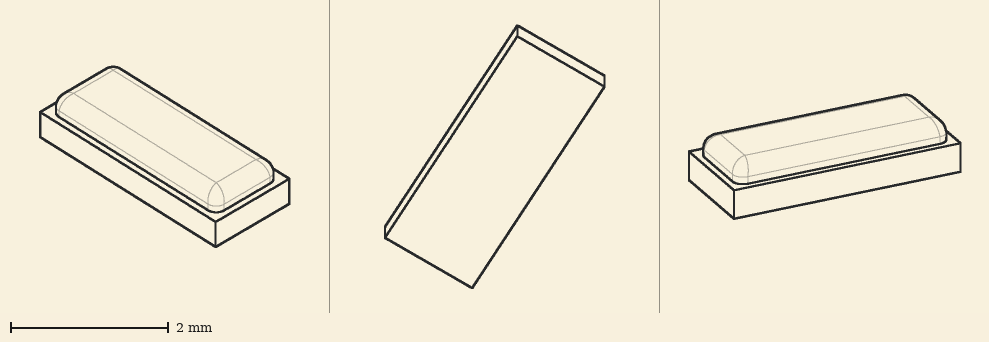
import cadquery as cq

BASE_LENGTH = 3.2
BASE_WIDTH = 1.3
BASE_HEIGHT = 0.4

LEDGE = 0.1
LID_LENGTH = BASE_LENGTH - 2 * LEDGE
LID_WIDTH = BASE_WIDTH - 2 * LEDGE
LID_HEIGHT = 0.3
LID_CORNER_RADIUS = 0.145
LID_TOP_RADIUS = 0.2


def make_base():
    """Plain block standing on Z = 0."""
    return cq.Workplane("XY").box(BASE_LENGTH, BASE_WIDTH, BASE_HEIGHT, centered=(True, True, False))


def make_lid():
    """Block resting on the base, with rounded upright corners and a rounded top rim."""
    block = (
        cq.Workplane("XY")
        .workplane(offset=BASE_HEIGHT)
        .box(LID_LENGTH, LID_WIDTH, LID_HEIGHT, centered=(True, True, False))
    )
    rounded_corners = block.edges("|Z").fillet(LID_CORNER_RADIUS)
    return rounded_corners.faces(">Z").edges().fillet(LID_TOP_RADIUS)


base = make_base()
lid = make_lid()

result = cq.Compound.makeCompound([base.val(), lid.val()])